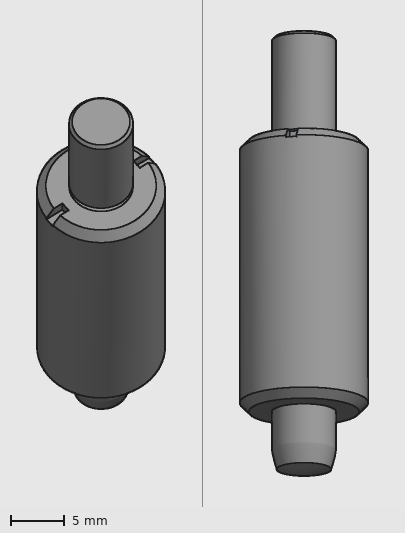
import cadquery as cq
import math

housing_radius = 6.0
housing_length = 26.0
housing_chamfer = 0.85

slot_width = 1.0
slot_depth = 1.0
slot_inner_radius = 4.15

pin_radius = 3.0
upper_length = 10.0
lower_length = 6.0
top_chamfer = 0.3

neck_radius = 2.25
neck_height = 0.5

nose_length = 2.3
dome_height = 0.45
dome_rim_radius = 2.55
nose_bulge = 0.05


def make_housing():
    sleeve = (
        cq.Workplane("XY")
        .circle(housing_radius)
        .extrude(housing_length)
        .faces("<Z or >Z")
        .chamfer(housing_chamfer)
    )
    bore = cq.Workplane("XY").circle(pin_radius).extrude(housing_length)
    return sleeve.cut(bore).cut(make_driver_slots())


def make_driver_slots():
    """Bar across the top face, interrupted by a round land in the middle."""
    slot_floor = cq.Workplane("XY").workplane(offset=housing_length - slot_depth)
    bar = slot_floor.rect(slot_width, 2 * housing_radius).extrude(slot_depth)
    land = slot_floor.circle(slot_inner_radius).extrude(slot_depth)
    return bar.cut(land)


def make_pin():
    """Revolve the half profile of the pin, from the nose up to the top."""
    bottom = -lower_length
    top = housing_length + upper_length
    dome_rim = bottom + dome_height
    nose_start = bottom + nose_length

    sphere_radius = (dome_rim_radius**2 + dome_height**2) / (2 * dome_height)
    half_angle = math.asin(dome_rim_radius / sphere_radius) / 2
    dome_middle = (
        sphere_radius * math.sin(half_angle),
        bottom + sphere_radius * (1 - math.cos(half_angle)),
    )

    flank_middle = (
        (dome_rim_radius + pin_radius) / 2 + nose_bulge,
        (dome_rim + nose_start) / 2,
    )

    profile = (
        cq.Workplane("XZ")
        .moveTo(0, bottom)
        .threePointArc(dome_middle, (dome_rim_radius, dome_rim))
        .threePointArc(flank_middle, (pin_radius, nose_start))
        .lineTo(pin_radius, housing_length)
        .lineTo(neck_radius, housing_length)
        .lineTo(pin_radius, housing_length + neck_height)
        .lineTo(pin_radius, top - top_chamfer)
        .lineTo(pin_radius - top_chamfer, top)
        .lineTo(0, top)
        .close()
    )
    return profile.revolve(360, (0, 0, 0), (0, 1, 0))


housing = make_housing()
pin = make_pin()

result = cq.Compound.makeCompound([housing.val(), pin.val()])